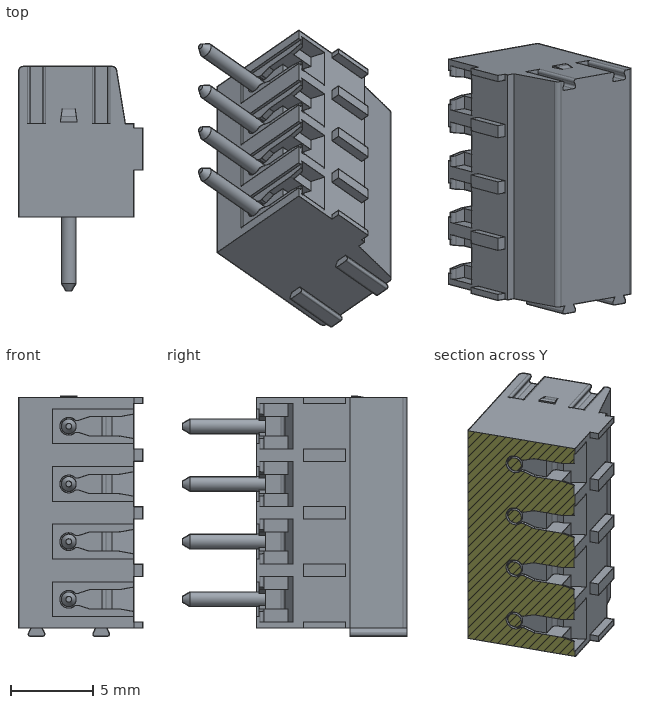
import cadquery as cq
import math


pitch = 3.5
pin_count = 4
height = pitch * pin_count
width = 7.0
depth = 9.15
step_width = 6.49
step_y = 5.67
top_width = 5.92
corner_radius = 0.3

tab_reach = 0.55
tab_thickness = 0.76
tab_front_y = 2.86
tab_back_y = 5.41

pin_x = 3.05
pin_radius = 0.45
pin_length = 4.49
tip_length = 0.47
tip_radius = 0.17
pin_hole_radius = 0.54

recess_left_x = 2.05
recess_height = 2.11
recess_depth = 0.17
slot_floor_y = 0.57
slot_neck_half = 0.36
slot_half = 0.58
slot_mouth_half = 0.75
neck_end_x = 3.63
taper_end_x = 4.3
flare_start_x = 6.12

entry_left_x = 5.06
entry_front_y = 0.45
entry_floor_y = 1.75
entry_floor_radius = 0.26
entry_ramp_x = 5.69
entry_ramp_angle = 20.0
entry_lip_radius = 0.23
entry_mouth_half = (pitch - tab_thickness) / 2

dovetail_centres = (1.1, 5.02)
dovetail_start_y = step_y
dovetail_slope = 25.0
rail_height = 0.5
rail_root_half = 0.35
rail_radius = 0.13
groove_depth = 0.58
groove_neck_half = 0.3
groove_lip_radius = 0.15
groove_floor_radius = 0.13

wedge_height = 0.09
wedge_front_y = 5.77
wedge_crest_y = 6.1
wedge_back_y = 6.58
wedge_front_half = 0.51
wedge_back_half = 0.4

cell_centres = [pitch * (i + 0.5) for i in range(pin_count)]


def xz_prism(points, y_start, y_end):
    """Extrude an outline given as (x, z) points from y_start to y_end."""
    plane = cq.Workplane("XZ", origin=(0, y_start, 0))
    return plane.polyline(points).close().extrude(y_start - y_end)


def housing():
    outline = [
        (0, 0), (width, 0), (width, step_y), (step_width, step_y), (top_width, depth), (0, depth),
    ]
    body = cq.Workplane("XY").polyline(outline).close().extrude(height)
    return body.edges("|Z").edges(">Y").fillet(corner_radius)


def tabs():
    """One tab per cell boundary, trimmed to the housing at the two ends."""
    row = cq.Workplane("XY")
    tab_length = tab_back_y - tab_front_y
    for i in range(pin_count + 1):
        bottom = max(0, i * pitch - tab_thickness / 2)
        top = min(height, i * pitch + tab_thickness / 2)
        tab = cq.Workplane("XY").box(tab_reach, tab_length, top - bottom, centered=False)
        row = row.union(tab.translate((width, tab_front_y, bottom)))
    return row


def mirrored_in_z(upper_points, z):
    """Close an upper half outline of (x, half height) points about height z."""
    upper = [(x, z + half) for x, half in upper_points]
    lower = [(x, z - half) for x, half in reversed(upper_points)]
    return upper + lower


def pin_recess(z):
    return xz_prism(
        mirrored_in_z([(recess_left_x, recess_height / 2), (width, recess_height / 2)], z),
        0, recess_depth,
    )


def contact_slot(z):
    slot = xz_prism(
        mirrored_in_z(
            [
                (pin_x, slot_neck_half), (neck_end_x, slot_neck_half), (taper_end_x, slot_half),
                (flare_start_x, slot_half), (width, slot_mouth_half),
            ], z,
        ),
        0, slot_floor_y,
    )
    hole = cq.Workplane("XZ").center(pin_x, z).circle(pin_hole_radius).extrude(-slot_floor_y)
    return slot.union(hole)


def wire_entry(z):
    """Deep opening: its plan section limited to a narrow throat and a wider mouth."""
    ramp_rise = (width - entry_ramp_x) * math.tan(math.radians(entry_ramp_angle))
    arc_offset = entry_lip_radius * math.sqrt(0.5)
    corner_offset = entry_floor_radius * (1 - math.sqrt(0.5))
    plan = (
        cq.Workplane("XY")
        .moveTo(entry_left_x, entry_front_y)
        .lineTo(width - entry_lip_radius, entry_front_y)
        .threePointArc(
            (width - entry_lip_radius + arc_offset, entry_front_y - entry_lip_radius + arc_offset),
            (width, entry_front_y - entry_lip_radius),
        )
        .lineTo(width, entry_floor_y + ramp_rise)
        .lineTo(entry_ramp_x, entry_floor_y)
        .lineTo(entry_left_x + entry_floor_radius, entry_floor_y)
        .threePointArc(
            (entry_left_x + corner_offset, entry_floor_y - corner_offset),
            (entry_left_x, entry_floor_y - entry_floor_radius),
        )
        .close()
        .extrude(height)
    )
    elevation = xz_prism(
        mirrored_in_z(
            [(entry_left_x, slot_half), (flare_start_x, slot_half),
             (flare_start_x, entry_mouth_half), (width, entry_mouth_half)], z,
        ),
        0, depth,
    )
    return plan.intersect(elevation)


def pin(z):
    outline = [
        (0, slot_floor_y), (pin_radius, slot_floor_y), (pin_radius, tip_length - pin_length),
        (tip_radius, -pin_length), (0, -pin_length),
    ]
    return (
        cq.Workplane("XY")
        .polyline(outline)
        .close()
        .revolve(360, (0, 0, 0), (0, 1, 0))
        .translate((pin_x, 0, z))
    )


def dovetail(neck_half, bar_height, foot_radius):
    """Dovetail bar hanging from Z = 0 and centred on X = 0, with rounded feet."""
    foot_half = neck_half + bar_height * math.tan(math.radians(dovetail_slope))
    outline = [(-neck_half, 0), (neck_half, 0), (foot_half, -bar_height), (-foot_half, -bar_height)]
    return xz_prism(outline, dovetail_start_y, depth).edges("|Y and <Z").fillet(foot_radius)


def wedge():
    plan = (
        cq.Workplane("XY", origin=(pin_x, 0, height))
        .polyline([
            (-wedge_front_half, wedge_front_y), (wedge_front_half, wedge_front_y),
            (wedge_back_half, wedge_back_y), (-wedge_back_half, wedge_back_y),
        ])
        .close()
        .extrude(wedge_height)
    )
    side = (
        cq.Workplane("YZ")
        .polyline([
            (wedge_front_y, height), (wedge_front_y, height + wedge_height),
            (wedge_crest_y, height + wedge_height), (wedge_back_y, height),
        ])
        .close()
        .extrude(width)
    )
    return plan.intersect(side)


def cut_grooves(body):
    """Cut the dovetail grooves and round the lips where they meet the top face."""
    cutter = dovetail(groove_neck_half, groove_depth, groove_floor_radius)
    for x in dovetail_centres:
        body = body.cut(cutter.translate((x, 0, height)))
    margin = 0.01
    lip_zone = cq.selectors.BoxSelector(
        (0, dovetail_start_y, height - margin), (width, depth, height + margin)
    )
    return body.edges("|Y").edges(lip_zone).fillet(groove_lip_radius)


result = cut_grooves(housing()).union(tabs()).union(wedge())

rail = dovetail(rail_root_half, rail_height, rail_radius)
for x in dovetail_centres:
    result = result.union(rail.translate((x, 0, 0)))

for z in cell_centres:
    result = result.cut(pin_recess(z)).cut(contact_slot(z)).cut(wire_entry(z)).union(pin(z))